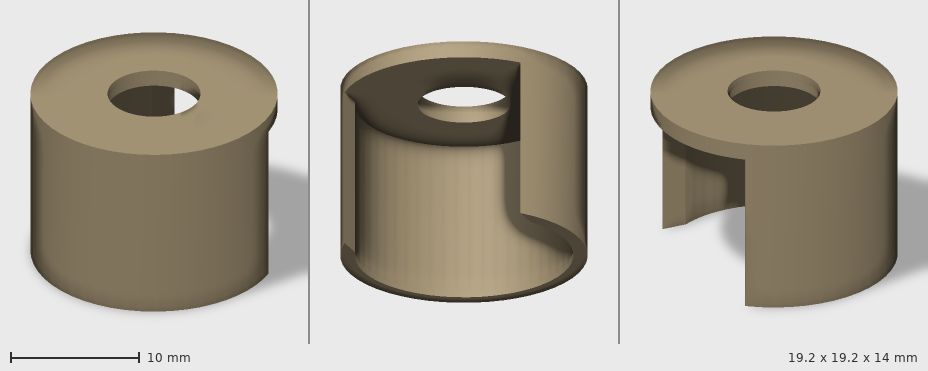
import cadquery as cq

outer_diameter = 19.2
height = 14.0
plate_thickness = 1.35
hole_diameter = 7.22
cavity_diameter = 17.0
mouth_width = 14.94
flat_y = 6.0

outer_radius = outer_diameter / 2
skirt_height = height - plate_thickness


def open_towards_back(width, start_y):
    """Box under the top plate, running from start_y past the +Y side."""
    box = cq.Workplane("XY").box(width, outer_diameter, skirt_height, centered=(True, False, False))
    return box.translate((0, start_y, 0))


drum = cq.Workplane("XY").circle(outer_radius).extrude(height)

cavity = cq.Workplane("XY").circle(cavity_diameter / 2).extrude(skirt_height)

mouth = open_towards_back(mouth_width, 0)

flat_cut = open_towards_back(outer_diameter, flat_y)

hole = cq.Workplane("XY").circle(hole_diameter / 2).extrude(height)

result = drum.cut(cavity).cut(mouth).cut(flat_cut).cut(hole)